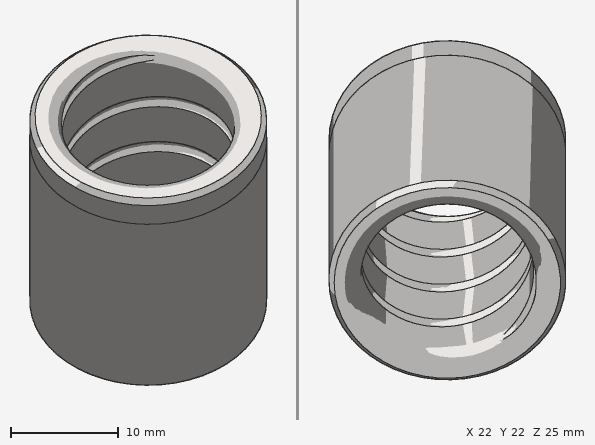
import cadquery as cq

length = 25.0
outer_diameter = 22.0
bore_diameter = 16.0
outer_chamfer = 0.5
mouth_radius = 1.5

lead_length = 3.0
lead_relief = 0.005

groove_pitch = 6.0
groove_cutter_radius = 0.75
groove_depth = 0.4
groove_overrun = groove_pitch / 2
groove_start_height = -groove_overrun
groove_end_height = length + groove_overrun

seam_angle = 130.0

outer_radius = outer_diameter / 2
bore_radius = bore_diameter / 2


def make_sleeve():
    """Revolve the wall section: chamfered outside, rounded bore mouths."""
    lead_radius = outer_radius - lead_relief
    mouth_edge = bore_radius + mouth_radius
    lead_base = length - lead_length
    section = (
        cq.Workplane("XZ")
        .moveTo(mouth_edge, 0)
        .lineTo(outer_radius - outer_chamfer, 0)
        .lineTo(outer_radius, outer_chamfer)
        .lineTo(outer_radius, lead_base)
        .lineTo(lead_radius, lead_base)
        .lineTo(lead_radius, length - outer_chamfer)
        .lineTo(lead_radius - outer_chamfer, length)
        .lineTo(mouth_edge, length)
        .radiusArc((bore_radius, length - mouth_radius), -mouth_radius)
        .lineTo(bore_radius, mouth_radius)
        .radiusArc((mouth_edge, 0), -mouth_radius)
        .close()
    )
    sleeve = section.revolve(360, (0, 0, 0), (0, 1, 0))
    return sleeve.rotate((0, 0, 0), (0, 0, 1), seam_angle)


def make_groove_cutter():
    """Sweep a round cutter along a helix that runs out through both mouths."""
    path_radius = bore_radius + groove_depth - groove_cutter_radius
    travel = groove_end_height - groove_start_height
    helix = cq.Wire.makeHelix(groove_pitch, travel, path_radius, lefthand=True)
    cutter = (
        cq.Workplane("XZ", origin=(path_radius, 0, 0))
        .circle(groove_cutter_radius)
        .sweep(cq.Workplane(obj=helix), isFrenet=True)
    )
    return cutter.translate((0, 0, groove_start_height))


result = make_sleeve().cut(make_groove_cutter())